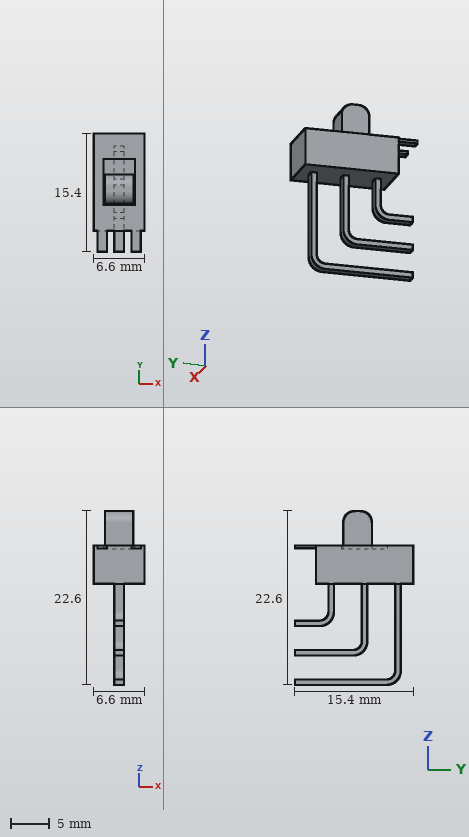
import cadquery as cq

TOTAL_HEIGHT = 22.6
TOTAL_DEPTH = 15.4

BODY_WIDTH = 6.6
BODY_DEPTH = 12.68
BODY_HEIGHT = 5.0

WINDOW_WIDTH = 4.12
WINDOW_LENGTH = 6.0
WINDOW_DEPTH = 0.5

KNOB_WIDTH = 3.7
KNOB_LENGTH = 3.75
KNOB_HEIGHT = 4.45
KNOB_RADIUS = 1.5
KNOB_END_GAP = 0.2

TAB_WIDTH = 1.25
TAB_THICKNESS = 0.4
TAB_OFFSET = 2.2

PIN_WIDTH = 1.31
PIN_THICKNESS = 0.75
PIN_SPACING = 4.35
PIN_ROW_SPACING = 3.82
PIN_INNER_RADIUS = 1.13

BODY_FRONT = -BODY_DEPTH / 2
TIP_Y = BODY_DEPTH / 2 - TOTAL_DEPTH
LOWEST_Z = BODY_HEIGHT + KNOB_HEIGHT - TOTAL_HEIGHT
KNOB_Y = -WINDOW_LENGTH / 2 + KNOB_END_GAP + KNOB_LENGTH / 2


def make_block(width, length, height, x, y, base_z):
    """Box centred at (x, y) and standing on base_z."""
    return cq.Workplane("XY").box(width, length, height, centered=(True, True, False)).translate((x, y, base_z))


def make_body():
    """Rectangular housing with a shallow window in its top."""
    body = make_block(BODY_WIDTH, BODY_DEPTH, BODY_HEIGHT, 0, 0, 0)
    window = make_block(WINDOW_WIDTH, WINDOW_LENGTH, WINDOW_DEPTH, 0, 0, BODY_HEIGHT - WINDOW_DEPTH)
    return body.cut(window)


def make_knob():
    """Slider knob standing on the window floor, with rounded top edges."""
    floor_z = BODY_HEIGHT - WINDOW_DEPTH
    knob = make_block(KNOB_WIDTH, KNOB_LENGTH, KNOB_HEIGHT + WINDOW_DEPTH, 0, KNOB_Y, floor_z)
    return knob.faces(">Z").edges("|X").fillet(KNOB_RADIUS)


def make_tab(x):
    """Flat tab reaching forward from the top front edge of the body."""
    length = BODY_FRONT - TIP_Y
    return make_block(TAB_WIDTH, length, TAB_THICKNESS, x, TIP_Y + length / 2, BODY_HEIGHT - TAB_THICKNESS)


def make_pin(leg_y, bottom_z):
    """Flat pin that drops from the body and bends forward to TIP_Y."""
    back_y = leg_y + PIN_THICKNESS / 2
    front_y = leg_y - PIN_THICKNESS / 2
    top_z = bottom_z + PIN_THICKNESS
    outer_radius = PIN_INNER_RADIUS + PIN_THICKNESS
    bend_y = back_y - outer_radius
    bend_z = bottom_z + outer_radius
    return (
        cq.Workplane("YZ")
        .moveTo(back_y, 0)
        .lineTo(back_y, bend_z)
        .radiusArc((bend_y, bottom_z), outer_radius)
        .lineTo(TIP_Y, bottom_z)
        .lineTo(TIP_Y, top_z)
        .lineTo(bend_y, top_z)
        .radiusArc((front_y, bend_z), -PIN_INNER_RADIUS)
        .lineTo(front_y, 0)
        .close()
        .extrude(PIN_WIDTH / 2, both=True)
    )


result = make_body().union(make_knob())
for side in (-1, 1):
    result = result.union(make_tab(side * TAB_OFFSET))
for row in range(3):
    result = result.union(make_pin((1 - row) * PIN_SPACING, LOWEST_Z + row * PIN_ROW_SPACING))